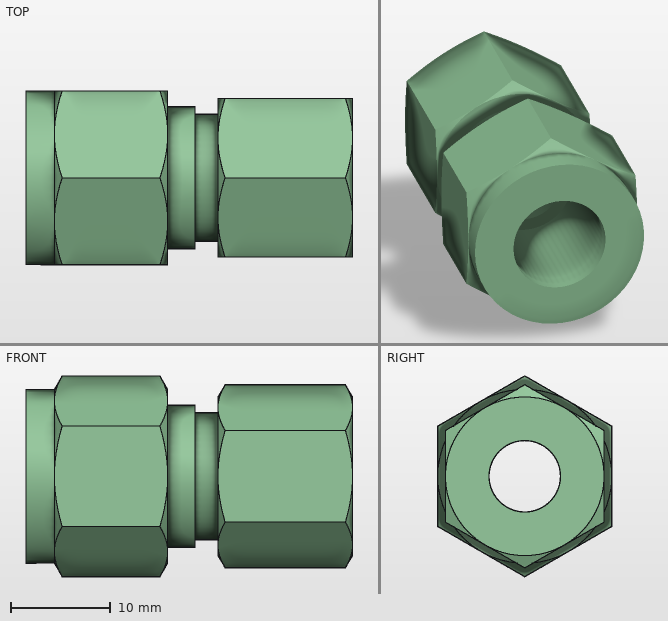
import cadquery as cq
import math

total_length = 32.75
collar_end = 2.85
large_nut_end = 14.22
body_end = 16.97
small_nut_start = 19.25

large_nut_flats = 17.45
small_nut_flats = 15.92
collar_diameter = large_nut_flats
body_diameter = 14.28
neck_diameter = 12.78
tube_socket_diameter = 9.5
bore_diameter = 7.15

tube_socket_depth = large_nut_end

hex_sides = 6

chamfer_angle = 60.0


def cylinder(start, end, diameter):
    """Round section about the X axis."""
    return cq.Workplane("YZ", origin=(start, 0, 0)).circle(diameter / 2).extrude(end - start)


def hex_nut(start, end, flats):
    """Hexagon along X with corners on +-Z, its corners trimmed by a cone at both ends."""
    corners = flats / math.cos(math.pi / hex_sides)
    face_radius = flats / 2
    corner_radius = corners / 2
    trim = (corner_radius - face_radius) / math.tan(math.radians(chamfer_angle))
    prism = (
        cq.Workplane("YZ", origin=(start, 0, 0))
        .transformed(rotate=(0, 0, 90))
        .polygon(hex_sides, corners)
        .extrude(end - start)
    )
    envelope = (
        cq.Workplane("XY")
        .moveTo(start, 0)
        .lineTo(start, face_radius)
        .lineTo(start + trim, corner_radius)
        .lineTo(end - trim, corner_radius)
        .lineTo(end, face_radius)
        .lineTo(end, 0)
        .close()
        .revolve(360, (0, 0, 0), (1, 0, 0))
    )
    return prism.intersect(envelope)


collar = cylinder(0, collar_end, collar_diameter)
large_nut = hex_nut(collar_end, large_nut_end, large_nut_flats)
body = cylinder(large_nut_end, body_end, body_diameter)
neck = cylinder(body_end, small_nut_start, neck_diameter)
small_nut = hex_nut(small_nut_start, total_length, small_nut_flats)

tube_socket = cylinder(0, tube_socket_depth, tube_socket_diameter)
bore = cylinder(0, total_length, bore_diameter)

solid_fitting = collar.union(large_nut).union(body).union(neck).union(small_nut)
result = solid_fitting.cut(tube_socket).cut(bore)